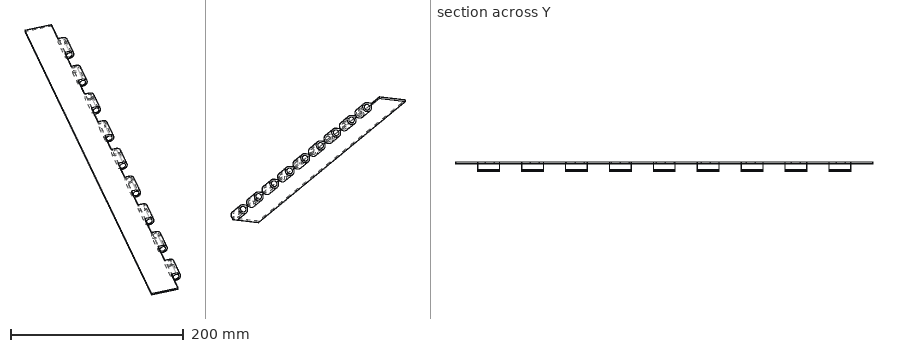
import cadquery as cq

length = 482.5
total_depth = 43.5
barrel_diameter = 11.0
sheet_thickness = 2.15
knuckle_count = 9

segment_width = length / (2 * knuckle_count + 1)
outer_radius = barrel_diameter / 2
pin_radius = outer_radius - sheet_thickness
leaf_depth = total_depth - barrel_diameter
barrel_y = total_depth - outer_radius
barrel_z = -outer_radius


def make_leaf():
    """Flat leaf with its top face at Z = 0 and its front edge at Y = 0."""
    return cq.Workplane("XY").box(length, leaf_depth, sheet_thickness, centered=False).translate(
        (0, 0, -sheet_thickness)
    )


def make_knuckle(start_x):
    """Tab that runs tangentially from the leaf into a rolled barrel with an open pin hole."""
    tab = (
        cq.Workplane("XY")
        .box(segment_width, barrel_y - leaf_depth, sheet_thickness, centered=False)
        .translate((start_x, leaf_depth, -sheet_thickness))
    )
    end_plane = cq.Workplane("YZ", origin=(start_x, barrel_y, barrel_z))
    barrel = end_plane.circle(outer_radius).extrude(segment_width)
    pin_hole = end_plane.circle(pin_radius).extrude(segment_width)
    return tab.union(barrel).cut(pin_hole)


result = make_leaf()
for index in range(knuckle_count):
    result = result.union(make_knuckle((2 * index + 1) * segment_width))